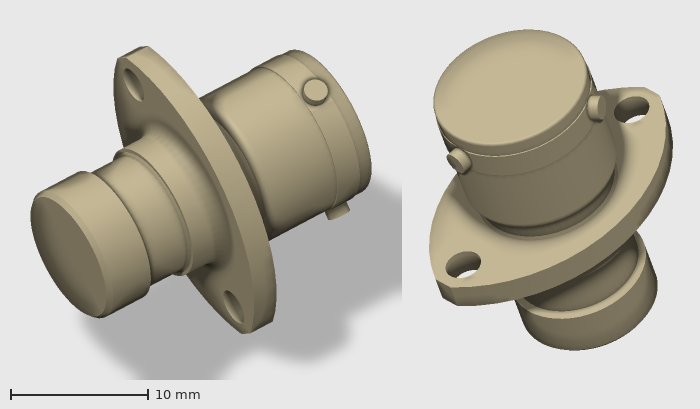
import cadquery as cq
import math

OVERALL_LENGTH = 23.05

FLANGE_THICKNESS = 2.0
FLANGE_HALF_WIDTH = 7.38
FLANGE_TIP_DISTANCE = 11.15
FLANGE_TIP_HALF_WIDTH = 0.8
FLANGE_ANGLE = 135.0
BOLT_HOLE_RADIUS = 1.34
BOLT_HOLE_DISTANCE = 9.0

FRONT_END_Y = -10.28
SPIGOT_RADIUS = 5.16
FLANGE_FILLET = 0.97
COLLAR_END_Y = -2.8
GROOVE_RADIUS = 4.68
GROOVE_REAR_CHAMFER = 0.2
HEAD_START_Y = -6.55
HEAD_CONE_LENGTH = 0.28
END_CHAMFER_LENGTH = 0.37
END_CHAMFER_DEPTH = 0.32

NECK_RADIUS = 5.12
NECK_CHAMFER = 0.2
SHOULDER_CHAMFER = 0.1
SHOULDER_Y = 3.57
SHOULDER_ROUND = 0.67
BARREL_RADIUS = 5.8
RIM_ROUND = 0.2
REAR_END_Y = FRONT_END_Y + OVERALL_LENGTH

BAND_START_Y = 9.6
BAND_WIDTH = 1.98
BAND_RADIUS = 5.9
PAD_DISTANCE = BARREL_RADIUS
PIN_RADIUS = 0.88
PIN_TIP_DISTANCE = 6.62
PIN_COUNT = 3
FIRST_PIN_ANGLE = 75.0


def cylinder_along_y(radius, start_y, length):
    return cq.Workplane("XZ", origin=(0, start_y, 0)).circle(radius).extrude(-length)


def make_turned_body():
    """Revolve the stepped (radius, Y) outline from the front end to the rear end."""
    arc_part = math.sqrt(0.5)
    arc_inset = 1 - arc_part
    fillet_outer = SPIGOT_RADIUS + FLANGE_FILLET
    shoulder_inner = BARREL_RADIUS - SHOULDER_ROUND
    rim_inner = BARREL_RADIUS - RIM_ROUND
    outline = (
        cq.Workplane("XY")
        .moveTo(0, FRONT_END_Y)
        .lineTo(SPIGOT_RADIUS - END_CHAMFER_DEPTH, FRONT_END_Y)
        .lineTo(SPIGOT_RADIUS, FRONT_END_Y + END_CHAMFER_LENGTH)
        .lineTo(SPIGOT_RADIUS, HEAD_START_Y)
        .lineTo(GROOVE_RADIUS, HEAD_START_Y + HEAD_CONE_LENGTH)
        .lineTo(GROOVE_RADIUS, COLLAR_END_Y - GROOVE_REAR_CHAMFER)
        .lineTo(GROOVE_RADIUS + GROOVE_REAR_CHAMFER, COLLAR_END_Y)
        .lineTo(SPIGOT_RADIUS, COLLAR_END_Y)
        .lineTo(SPIGOT_RADIUS, -FLANGE_FILLET)
        .threePointArc(
            (SPIGOT_RADIUS + FLANGE_FILLET * arc_inset, -FLANGE_FILLET * arc_inset),
            (fillet_outer, 0),
        )
        .lineTo(fillet_outer, FLANGE_THICKNESS)
        .lineTo(NECK_RADIUS + NECK_CHAMFER, FLANGE_THICKNESS)
        .lineTo(NECK_RADIUS, FLANGE_THICKNESS + NECK_CHAMFER)
        .lineTo(NECK_RADIUS, SHOULDER_Y - SHOULDER_CHAMFER)
        .lineTo(shoulder_inner, SHOULDER_Y)
        .threePointArc(
            (shoulder_inner + SHOULDER_ROUND * arc_part, SHOULDER_Y + SHOULDER_ROUND * arc_inset),
            (BARREL_RADIUS, SHOULDER_Y + SHOULDER_ROUND),
        )
        .lineTo(BARREL_RADIUS, REAR_END_Y - RIM_ROUND)
        .threePointArc(
            (rim_inner + RIM_ROUND * arc_part, REAR_END_Y - RIM_ROUND * arc_inset),
            (rim_inner, REAR_END_Y),
        )
        .lineTo(0, REAR_END_Y)
        .close()
    )
    return outline.revolve(360, (0, 0, 0), (0, 1, 0))


def make_flange():
    """Draw the oval with its long axis along X, then turn it to the diagonal."""
    tip_x = FLANGE_TIP_DISTANCE
    tip_z = FLANGE_TIP_HALF_WIDTH
    oval = (
        cq.Workplane("XZ")
        .moveTo(tip_x, tip_z)
        .threePointArc((0, FLANGE_HALF_WIDTH), (-tip_x, tip_z))
        .lineTo(-tip_x, -tip_z)
        .threePointArc((0, -FLANGE_HALF_WIDTH), (tip_x, -tip_z))
        .close()
        .extrude(-FLANGE_THICKNESS)
    )
    holes = (
        cq.Workplane("XZ")
        .pushPoints([(-BOLT_HOLE_DISTANCE, 0), (BOLT_HOLE_DISTANCE, 0)])
        .circle(BOLT_HOLE_RADIUS)
        .extrude(-FLANGE_THICKNESS)
    )
    return turn_about_axis(oval.cut(holes), FLANGE_ANGLE)


def turn_about_axis(shape, angle):
    """Turn a shape lying along +X so that it points at the angle from +X toward +Z."""
    return shape.rotate((0, 0, 0), (0, 1, 0), -angle)


def make_pin_band():
    """Ring with flat pads, each carrying one radial pin."""
    band = cylinder_along_y(BAND_RADIUS, BAND_START_Y, BAND_WIDTH)
    band_middle_y = BAND_START_Y + BAND_WIDTH / 2
    pad_cutter = cq.Workplane("XY").box(
        BAND_RADIUS, BAND_WIDTH, BAND_RADIUS, centered=(False, True, True)
    ).translate((PAD_DISTANCE, band_middle_y, 0))
    pin = cq.Workplane("YZ").center(band_middle_y, 0).circle(PIN_RADIUS).extrude(PIN_TIP_DISTANCE)
    for index in range(PIN_COUNT):
        angle = FIRST_PIN_ANGLE + index * 360 / PIN_COUNT
        band = band.cut(turn_about_axis(pad_cutter, angle))
        band = band.union(turn_about_axis(pin, angle))
    return band


result = make_turned_body().union(make_flange()).union(make_pin_band())